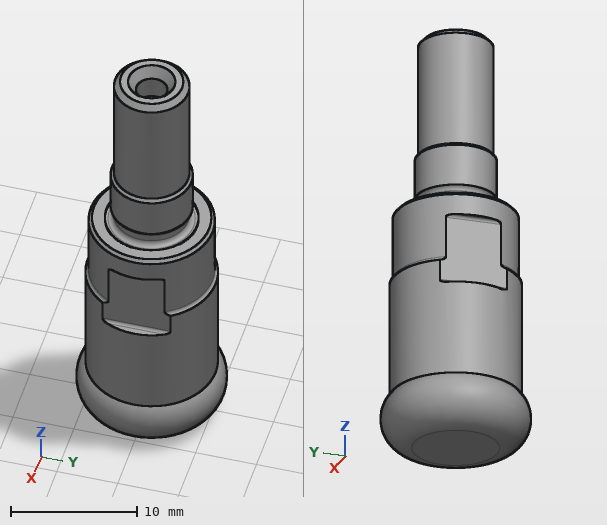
import cadquery as cq
import math

SLEEVE_TOP = 20.0
COLLAR_RADIUS = 10.0 / 2
COLLAR_CHAMFER = 0.28
GRIP_RADIUS = 10.5 / 2
SHOULDER_TOP = 14.35
SHOULDER_FILLET = 0.35
BULGE_RADIUS = 11.95 / 2
BULGE_ARC_RADIUS = 2.5

FLAT_HALF_WIDTH = 8.9 / 2
FLAT_BOTTOM = 12.08
FLAT_TOP = 18.0
FLAT_CORNER_RADIUS = 0.25

STEM_TOP = 35.0
STEM_RADIUS = 6.0 / 2
STEM_CHAMFER = 0.5
BAND_RADIUS = 6.5 / 2
BAND_TOP = 25.0
BAND_CHAMFER = BAND_RADIUS - STEM_RADIUS
NECK_TOP = 20.9
NECK_BOTTOM = 20.35
NECK_FILLET = 0.45
SEAT_RADIUS = 7.42 / 2
SEAT_TOP = NECK_BOTTOM - NECK_FILLET
SEAT_BOTTOM = 15.75

HOLE_RADIUS = 2.5 / 2
HOLE_MOUTH_RADIUS = 3.75 / 2
COUNTERSINK_DEPTH = 0.88
HOLE_DEPTH = 2.8
DRILL_TIP_ANGLE = 118.0


def make_knob_blank():
    """Revolve the solid outline of the knob about the Z axis."""
    arc_centre_radius = BULGE_RADIUS - BULGE_ARC_RADIUS
    arc_rise = math.sqrt(BULGE_ARC_RADIUS**2 - (GRIP_RADIUS - arc_centre_radius) ** 2)
    bulge_top = BULGE_ARC_RADIUS + arc_rise
    fillet_reach = SHOULDER_FILLET - (GRIP_RADIUS - COLLAR_RADIUS)
    shoulder_bottom = SHOULDER_TOP - math.sqrt(SHOULDER_FILLET**2 - fillet_reach**2)
    return (
        cq.Workplane("XZ")
        .lineTo(arc_centre_radius, 0)
        .threePointArc((BULGE_RADIUS, BULGE_ARC_RADIUS), (GRIP_RADIUS, bulge_top))
        .lineTo(GRIP_RADIUS, shoulder_bottom)
        .radiusArc((COLLAR_RADIUS, SHOULDER_TOP), SHOULDER_FILLET)
        .lineTo(COLLAR_RADIUS, SLEEVE_TOP - COLLAR_CHAMFER)
        .lineTo(COLLAR_RADIUS - COLLAR_CHAMFER, SLEEVE_TOP)
        .lineTo(0, SLEEVE_TOP)
        .close()
        .revolve(360, (0, 0), (0, 1))
    )


def make_flat_cutter(side):
    """Block that mills one flat; side is -1 or +1 along X."""
    depth = BULGE_RADIUS - FLAT_HALF_WIDTH
    block = cq.Workplane("XY").box(depth, 2 * BULGE_RADIUS, FLAT_TOP - FLAT_BOTTOM)
    inner_face = "<X" if side > 0 else ">X"
    return (
        block.faces(inner_face)
        .edges("|Y")
        .fillet(FLAT_CORNER_RADIUS)
        .translate((side * (FLAT_HALF_WIDTH + depth / 2), 0, (FLAT_TOP + FLAT_BOTTOM) / 2))
    )


def make_bore():
    """Blind bore in which the stem's seat fits."""
    depth = SLEEVE_TOP - SEAT_BOTTOM
    return cq.Workplane("XY").workplane(offset=SEAT_BOTTOM).circle(SEAT_RADIUS).extrude(depth)


def make_knob():
    """Knob with its bore and a pair of opposite wrench flats."""
    knob = make_knob_blank().cut(make_bore())
    for side in (-1, 1):
        knob = knob.cut(make_flat_cutter(side))
    return knob


def make_centre_hole():
    """Countersunk blind hole with a conical drill tip."""
    hole_bottom = STEM_TOP - HOLE_DEPTH
    tip_depth = HOLE_RADIUS / math.tan(math.radians(DRILL_TIP_ANGLE / 2))
    return (
        cq.Workplane("XZ")
        .moveTo(0, hole_bottom - tip_depth)
        .lineTo(HOLE_RADIUS, hole_bottom)
        .lineTo(HOLE_RADIUS, STEM_TOP - COUNTERSINK_DEPTH)
        .lineTo(HOLE_MOUTH_RADIUS, STEM_TOP)
        .lineTo(0, STEM_TOP)
        .close()
        .revolve(360, (0, 0), (0, 1))
    )


def make_stem():
    """Revolve the stem, with a neck rounded at both ends between its seat and band."""
    fillet_reach = NECK_FILLET - (BAND_RADIUS - STEM_RADIUS)
    band_bottom = NECK_TOP + math.sqrt(NECK_FILLET**2 - fillet_reach**2)
    blank = (
        cq.Workplane("XZ")
        .moveTo(0, SEAT_BOTTOM)
        .lineTo(SEAT_RADIUS, SEAT_BOTTOM)
        .lineTo(SEAT_RADIUS, SEAT_TOP)
        .lineTo(STEM_RADIUS + NECK_FILLET, SEAT_TOP)
        .radiusArc((STEM_RADIUS, NECK_BOTTOM), NECK_FILLET)
        .lineTo(STEM_RADIUS, NECK_TOP)
        .radiusArc((BAND_RADIUS, band_bottom), NECK_FILLET)
        .lineTo(BAND_RADIUS, BAND_TOP - BAND_CHAMFER)
        .lineTo(STEM_RADIUS, BAND_TOP)
        .lineTo(STEM_RADIUS, STEM_TOP - STEM_CHAMFER)
        .lineTo(STEM_RADIUS - STEM_CHAMFER, STEM_TOP)
        .lineTo(0, STEM_TOP)
        .close()
        .revolve(360, (0, 0), (0, 1))
    )
    return blank.cut(make_centre_hole())


knob = make_knob()
stem = make_stem()
result = cq.Compound.makeCompound([knob.val(), stem.val()])